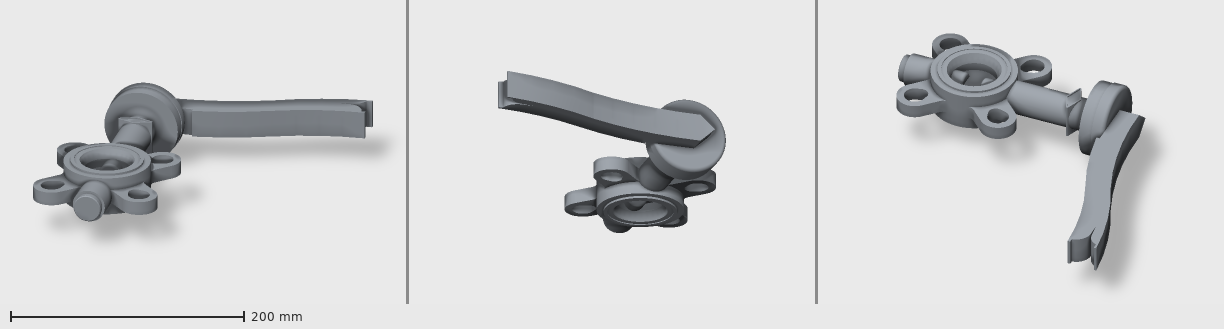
import cadquery as cq
import math


RING_RADIUS = 37.5
RING_HALF_HEIGHT = 16.8
FACE_RADIUS = 31.5
FACE_HALF_HEIGHT = 18.7
SEAT_RADIUS = 28.5
SEAT_DEPTH = 0.8

MOUTH_RADIUS = 23.5
THROAT_RADIUS = 19.7
THROAT_HALF_HEIGHT = 9.8
DISC_HALF_THICKNESS = 2.5

STUB_RADIUS = 9.8
STUB_END = 7.8
STUB_FILLET = 2.3
STUB_ROOT = 26.2

LUG_OFFSET = 39.0
LUG_RADIUS = 15.8
LUG_THICKNESS = 12.0
LUG_ROOT_FILLET = 6.7
HOLE_RADIUS = 9.3
HOLE_NARROW_OFFSET = 35.0
HOLE_NARROW_RADIUS = 6.5

STEM_RADIUS = 14.3
STEM_BOTTOM = -60.1
PLUG_RADIUS = 12.0
PLUG_BOTTOM = -66.4
PLUG_CHAMFER = 0.8
FLANGE_RADIUS = 32.7
FLANGE_BOTTOM = 111.5
FLANGE_TOP = 123.0
NECK_FILLET = 5.5

BADGE_Y = 92.8
BADGE_HALF_WIDTH = 15.0
BADGE_HALF_LENGTH = 6.7
BADGE_TIP_HALF_LENGTH = 0.8
BADGE_HALF_HEIGHT = 15.3
BADGE_RIM = 1.0
BADGE_RECESS = 1.3

TOTAL_WIDTH = 238.7
TOTAL_LENGTH = 259.2

CAP_RADIUS = 33.5
CAP_TOP = 134.3
CAP_FILLET = 3.0

ARM_THICKNESS = 24.0
ARM_LEFT = -16.5
ARM_RIGHT = TOTAL_WIDTH - LUG_OFFSET - LUG_RADIUS
ARM_POINT_LENGTH = 13.0
ARM_LEFT_TOP = 153.0
ARM_RIGHT_TOP = PLUG_BOTTOM + TOTAL_LENGTH
ARM_RIGHT_BOTTOM = 166.1
ARM_STEP_X = 40.0
ARM_STEP_Y = 131.2
LOWER_BEND_MIDDLE = (70.8, 137.5)
LOWER_BEND_END = (107.0, 149.5)
LOWER_TIP_MIDDLE = (141.0, 160.5)
UPPER_TIP_MIDDLE = (141.3, 185.3)
UPPER_BEND_END = (99.3, 170.0)
UPPER_BEND_MIDDLE = (51.8, 156.8)

TAB_THICKNESS = 2.3
LOWER_TAB_ROOT_X = 180.5
UPPER_TAB_ROOT_X = 179.0
CRACK_TIP = (156.0, 180.5)
LOWER_LOBE_START = (168.5, 180.5)
LOWER_LOBE_MIDDLE = (176.5, 176.5)
UPPER_LOBE_START = (168.5, 182.0)
UPPER_LOBE_MIDDLE = (176.3, 185.5)

TOLERANCE = 0.3


def cylinder_y(radius, y_start, y_end):
    """Cylinder on the stem axis between two Y positions."""
    return cq.Workplane("XZ", origin=(0, y_start, 0)).circle(radius).extrude(y_start - y_end)


def cylinder_z(radius, half_height):
    """Cylinder on the bore axis, centred on Z = 0."""
    return cq.Workplane("XY").circle(radius).extrude(half_height, both=True)


def make_lug():
    """Rounded arm along +X with a tapered hole outline, before turning onto a diagonal."""
    reach = LUG_OFFSET * 2 ** 0.5
    narrow_reach = HOLE_NARROW_OFFSET * 2 ** 0.5
    arm = cq.Workplane("XY").center(reach / 2, 0).rect(reach, 2 * LUG_RADIUS)
    arm = arm.extrude(LUG_THICKNESS / 2, both=True)
    eye = cq.Workplane("XY").center(reach, 0).circle(LUG_RADIUS)
    eye = eye.extrude(LUG_THICKNESS / 2, both=True)
    return arm.union(eye).cut(make_lug_hole(reach, narrow_reach))


def make_lug_hole(reach, narrow_reach):
    """Pear-shaped hole: a wide and a narrow circle joined by their common tangents."""
    cosine = (HOLE_RADIUS - HOLE_NARROW_RADIUS) / (reach - narrow_reach)
    sine = (1 - cosine ** 2) ** 0.5
    wide = (reach - HOLE_RADIUS * cosine, HOLE_RADIUS * sine)
    narrow = (narrow_reach - HOLE_NARROW_RADIUS * cosine, HOLE_NARROW_RADIUS * sine)
    outline = (
        cq.Workplane("XY")
        .moveTo(wide[0], -wide[1])
        .threePointArc((reach + HOLE_RADIUS, 0), wide)
        .lineTo(*narrow)
        .threePointArc((narrow_reach - HOLE_NARROW_RADIUS, 0), (narrow[0], -narrow[1]))
        .close()
    )
    return outline.extrude(LUG_THICKNESS, both=True)


def make_badge(inset, half_height):
    """Diamond prism with blunt side tips; the inset shrinks the outline evenly."""
    length = BADGE_HALF_LENGTH
    tip = BADGE_TIP_HALF_LENGTH
    width = BADGE_HALF_WIDTH
    outline = [
        (-width, -tip),
        (0, -length),
        (width, -tip),
        (width, tip),
        (0, length),
        (-width, tip),
    ]
    badge = cq.Workplane("XY", origin=(0, BADGE_Y, 0)).polyline(outline).close()
    if inset:
        badge = badge.offset2D(-inset)
    return badge.extrude(half_height, both=True)


def make_bore():
    """Seat recess, conical mouth and throat, the same from both faces."""
    seat_height = FACE_HALF_HEIGHT - SEAT_DEPTH
    profile = [
        (0, 0),
        (THROAT_RADIUS, 0),
        (THROAT_RADIUS, THROAT_HALF_HEIGHT),
        (MOUTH_RADIUS, seat_height),
        (SEAT_RADIUS, seat_height),
        (SEAT_RADIUS, FACE_HALF_HEIGHT),
        (0, FACE_HALF_HEIGHT),
    ]
    upper = cq.Workplane("XZ").polyline(profile).close().revolve(360, (0, 0, 0), (0, 1, 0))
    return upper.union(upper.mirror("XY"))


def make_ring():
    """Solid ring blank with its raised faces and four lugs, rounded where the lugs meet the ring."""
    ring = cylinder_z(RING_RADIUS, RING_HALF_HEIGHT)
    lug = make_lug()
    for angle in (45, 135, 225, 315):
        ring = ring.union(lug.rotate((0, 0, 0), (0, 0, 1), angle))
    roots = ring.edges("|Z").filter(is_lug_root)
    ring = roots.fillet(LUG_ROOT_FILLET)
    return ring.union(cylinder_z(FACE_RADIUS, FACE_HALF_HEIGHT))


def is_lug_root(edge):
    """True for an upright lug edge that lies on the ring wall."""
    center = edge.Center()
    is_on_wall = abs(math.hypot(center.x, center.y) - RING_RADIUS) < TOLERANCE
    return is_on_wall and edge.Length() < LUG_THICKNESS + TOLERANCE


def is_neck_corner(edge):
    """True for the circle where the stem meets the underside of the flange."""
    is_on_stem = abs(edge.radius() - STEM_RADIUS) < TOLERANCE
    return is_on_stem and abs(edge.Center().y - FLANGE_BOTTOM) < TOLERANCE


def make_housing():
    """Stem, flange, badge, lugged ring and closed disc as one solid."""
    body = cylinder_y(STEM_RADIUS, STEM_BOTTOM, FLANGE_BOTTOM)
    flange = cylinder_y(FLANGE_RADIUS, FLANGE_BOTTOM, FLANGE_TOP)
    body = body.union(flange)
    body = body.edges("%CIRCLE").filter(is_neck_corner).fillet(NECK_FILLET)

    plug = cylinder_y(PLUG_RADIUS, PLUG_BOTTOM, STEM_BOTTOM)
    body = body.union(plug.faces("<Y").chamfer(PLUG_CHAMFER))

    body = body.union(make_badge(0, BADGE_HALF_HEIGHT))
    floor = BADGE_HALF_HEIGHT - BADGE_RECESS
    recesses = make_badge(BADGE_RIM, BADGE_HALF_HEIGHT).cut(make_badge(BADGE_RIM, floor))
    body = body.cut(recesses)

    body = body.union(make_ring()).cut(make_bore())
    body = body.union(cylinder_z(MOUTH_RADIUS, DISC_HALF_THICKNESS))
    stub = cylinder_y(STUB_RADIUS, STUB_END, STUB_ROOT).faces("<Y").edges().fillet(STUB_FILLET)
    return body.union(stub).union(stub.mirror("XZ"))


def make_arm():
    """S-curved bar with a split end and a pointed left end."""
    lower_tab_top = ARM_RIGHT_BOTTOM + TAB_THICKNESS
    upper_tab_bottom = ARM_RIGHT_TOP - TAB_THICKNESS
    half_thickness = ARM_THICKNESS / 2
    outline = (
        cq.Workplane("XY")
        .moveTo(ARM_LEFT, CAP_TOP)
        .lineTo(ARM_STEP_X, CAP_TOP)
        .lineTo(ARM_STEP_X, ARM_STEP_Y)
        .threePointArc(LOWER_BEND_MIDDLE, LOWER_BEND_END)
        .threePointArc(LOWER_TIP_MIDDLE, (ARM_RIGHT, ARM_RIGHT_BOTTOM))
        .lineTo(ARM_RIGHT, lower_tab_top)
        .lineTo(LOWER_TAB_ROOT_X, lower_tab_top)
        .threePointArc(LOWER_LOBE_MIDDLE, LOWER_LOBE_START)
        .lineTo(*CRACK_TIP)
        .lineTo(*UPPER_LOBE_START)
        .threePointArc(UPPER_LOBE_MIDDLE, (UPPER_TAB_ROOT_X, upper_tab_bottom))
        .lineTo(ARM_RIGHT, upper_tab_bottom)
        .lineTo(ARM_RIGHT, ARM_RIGHT_TOP)
        .threePointArc(UPPER_TIP_MIDDLE, UPPER_BEND_END)
        .threePointArc(UPPER_BEND_MIDDLE, (ARM_LEFT, ARM_LEFT_TOP))
        .close()
    )
    bar = outline.extrude(half_thickness, both=True)

    shoulder = ARM_LEFT + ARM_POINT_LENGTH
    pointed_outline = [
        (ARM_LEFT, 0),
        (shoulder, half_thickness),
        (ARM_RIGHT, half_thickness),
        (ARM_RIGHT, -half_thickness),
        (shoulder, -half_thickness),
    ]
    envelope = cq.Workplane("XZ").polyline(pointed_outline).close().extrude(-TOTAL_LENGTH)
    return bar.intersect(envelope)


def make_lever():
    """Round cap with a rounded top edge, joined to the arm."""
    cap = cylinder_y(CAP_RADIUS, FLANGE_TOP, CAP_TOP).faces(">Y").edges().fillet(CAP_FILLET)
    return cap.union(make_arm())


housing = make_housing()
lever = make_lever()
result = cq.Compound.makeCompound([housing.solids().val(), lever.solids().val()])